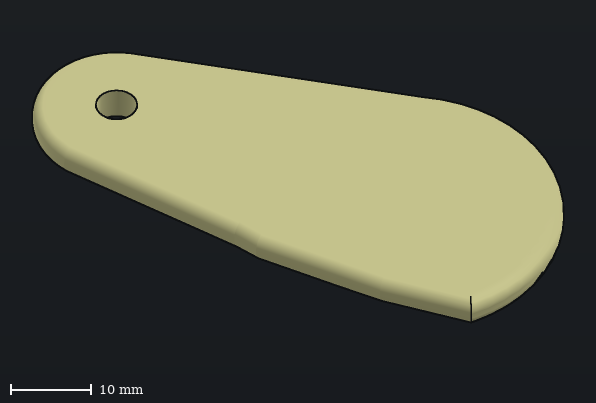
import cadquery as cq
import math

length = 69.8
thickness = 4.5
edge_radius = 1.95
hole_diameter = 5.1

small_radius = 10.5
large_radius = 19.9
large_center_x = length - small_radius - large_radius

small_upper_x = -2.65
small_lower_x = -2.2
large_upper_x = 33.1
large_lower_x = 54.9

lower_corners = [(22.55, -13.1), (25.9, -13.8), (37.0, -13.95), (43.0, -13.95)]


def height_on_circle(x, center_x, radius):
    """Distance above the X axis of a circle centred on that axis."""
    return math.sqrt(radius**2 - (x - center_x) ** 2)


small_upper = (small_upper_x, height_on_circle(small_upper_x, 0, small_radius))
small_lower = (small_lower_x, -height_on_circle(small_lower_x, 0, small_radius))
large_upper = (large_upper_x, height_on_circle(large_upper_x, large_center_x, large_radius))
large_lower = (large_lower_x, -height_on_circle(large_lower_x, large_center_x, large_radius))
small_tip = (-small_radius, 0)
large_tip = (large_center_x + large_radius, 0)

outline = cq.Workplane("XY").workplane(offset=-thickness / 2).moveTo(*small_lower)
for corner in lower_corners:
    outline = outline.lineTo(*corner)
outline = (
    outline.lineTo(*large_lower)
    .threePointArc(large_tip, large_upper)
    .lineTo(*small_upper)
    .threePointArc(small_tip, small_lower)
    .close()
)
plate = outline.extrude(thickness)

rounded_plate = plate.faces("|Z").edges().fillet(edge_radius)

hole = cq.Workplane("XY").circle(hole_diameter / 2).extrude(thickness, both=True)
result = rounded_plate.cut(hole)